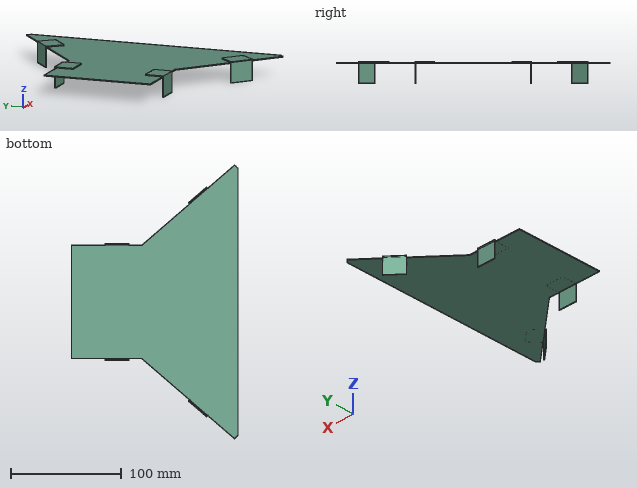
import cadquery as cq
import math

plate_length = 150.5
plate_width = 247.0
neck_width = 102.3
neck_length = 63.5
tip_cut_x = 3.2
tip_cut_y = 3.2
plate_thickness = 1.0

bracket_height = 19.8
bracket_width = 21.7
flange_depth = 17.8
sheet_thickness = 1.0
edge_gap = 0.5
neck_bracket_x = 41.2
wing_bracket_distance = 67.7

half_width = plate_width / 2
half_neck = neck_width / 2
tip_x = plate_length - tip_cut_x
wing_angle = math.atan2(half_width - half_neck, tip_x - neck_length)
wing_bracket_x = neck_length + wing_bracket_distance * math.cos(wing_angle)
wing_bracket_y = half_neck + wing_bracket_distance * math.sin(wing_angle)


def make_plate():
    """Flat funnel-shaped plate with small cuts at the two wing tips."""
    upper_edge = [
        (0, half_neck),
        (neck_length, half_neck),
        (tip_x, half_width),
        (plate_length, half_width - tip_cut_y),
    ]
    lower_edge = [(x, -y) for x, y in reversed(upper_edge)]
    outline = cq.Workplane("XY").polyline(upper_edge + lower_edge).close()
    return outline.extrude(-plate_thickness)


def make_bracket(x, y, angle):
    """L-shaped bracket on the +Y half, its edge point at (x, y) and turned by angle in degrees."""
    outer_face = edge_gap + sheet_thickness
    leg_bottom = sheet_thickness - bracket_height
    profile = [
        (outer_face - flange_depth, 0),
        (outer_face - flange_depth, sheet_thickness),
        (outer_face, sheet_thickness),
        (outer_face, leg_bottom),
        (edge_gap, leg_bottom),
        (edge_gap, 0),
    ]
    bracket = cq.Workplane("YZ").polyline(profile).close().extrude(bracket_width / 2, both=True)
    return bracket.rotate((0, 0, 0), (0, 0, 1), angle).translate((x, y, 0))


plate = make_plate()

bracket_places = [
    (neck_bracket_x, half_neck, 0),
    (wing_bracket_x, wing_bracket_y, math.degrees(wing_angle)),
]
brackets = []
for place in bracket_places:
    bracket = make_bracket(*place)
    brackets.append(bracket.val())
    brackets.append(bracket.mirror("XZ").val())

result = cq.Compound.makeCompound([plate.val(), *brackets])